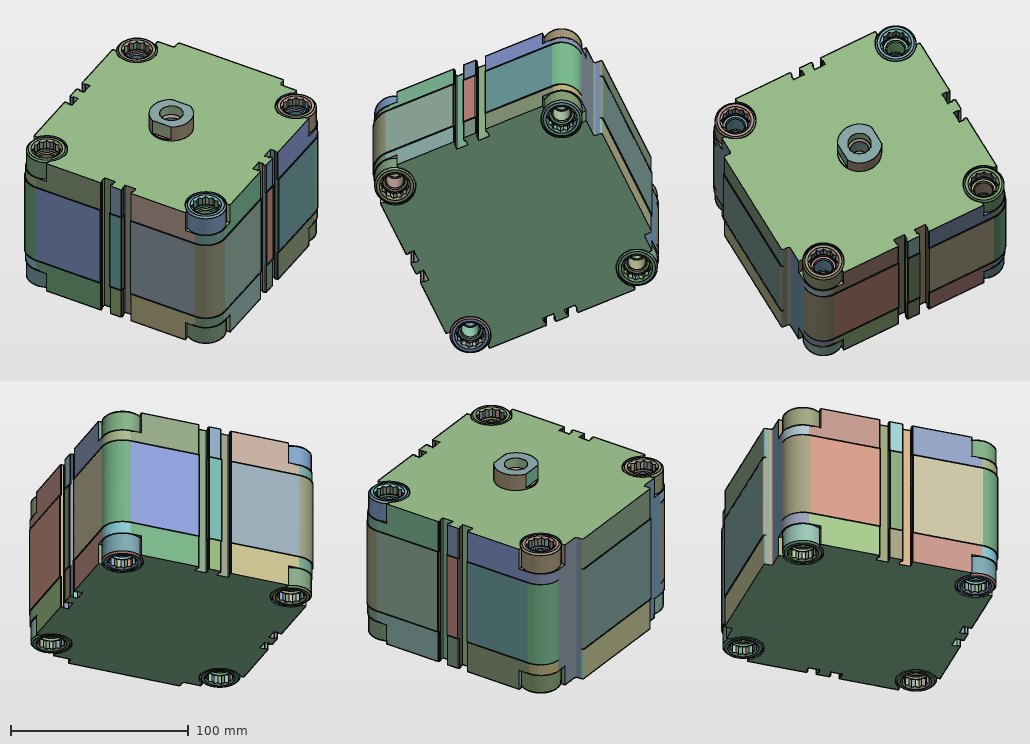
import cadquery as cq
import math

cap_height = 19.5
barrel_height = 52.4
barrel_top = cap_height + barrel_height
housing_height = barrel_top + cap_height
barrel_half = 64.0
cap_inset = 0.5
cap_half = barrel_half - cap_inset
shoulder = 63.7

tab_reach = 69.0
tab_half_width = 34.2
tab_root_fillet = 1.3
tab_corner_fillet = 1.0

groove_near = 3.3
groove_far = 10.1
mouth_near = 4.1
mouth_far = 9.6
front_cap_mouth_near = 3.9
groove_floor = 58.5
lip_inner = 61.5
lip_chamfer = 0.4
rib_chamfer = 0.5

screw_offset = 51.5
head_radius = 23.0 / 2
pocket_radius = 11.7
head_chamfer = 1.0
top_head_height = 12.8
bottom_head_height = 12.4
pocket_reach = 6.5
socket_rim_radius = 8.8
socket_point_radius = 8.0
point_spacing = 30
socket_flat = socket_point_radius * math.cos(math.radians(point_spacing))
socket_notch_radius = socket_flat / math.cos(math.radians(point_spacing / 2))
socket_rim_depth = 1.3
socket_points_depth = 5.9
socket_depth = 7.5
thread_rim_radius = 11.5 / 2
thread_radius = 10.1 / 2
thread_depth = 20.0
through_radius = 8.4 / 2

rod_radius = 25.0 / 2
rod_projection = 10.0
rod_length = rod_projection + cap_height
flat_half_width = 22.0 / 2
flat_height = 9.0
rod_mouth_radius = 13.2 / 2
rod_mouth_depth = 6.1
rod_thread_radius = 10.5 / 2
rod_thread_end = 18.6
drill_half_angle = math.radians(60)


def outer_block(half, reach, height):
    """Rounded square block with the rear tab, standing on Z = 0."""
    depth = half + shoulder
    block = cq.Workplane("XY").center(0, shoulder - depth / 2).rect(2 * half, depth).extrude(height)
    block = block.edges("|Z").fillet(half - screw_offset)
    tab = (
        cq.Workplane("XY")
        .center(0, reach / 2)
        .rect(2 * tab_half_width, reach)
        .extrude(height)
        .edges("|Z and >Y")
        .fillet(tab_corner_fillet)
    )
    block = block.union(tab)
    middle = height / 2
    for side in (-1, 1):
        root = cq.selectors.NearestToPointSelector((side * tab_half_width, shoulder, middle))
        block = block.edges(root).fillet(tab_root_fillet)
    return block


def groove_pair(half, near, height):
    """Cutter for the two undercut grooves on the -Y side."""
    points = [
        (groove_near, -groove_floor),
        (groove_far, -groove_floor),
        (groove_far, -lip_inner),
        (mouth_far, -lip_inner),
        (mouth_far, -half + lip_chamfer),
        (mouth_far + lip_chamfer, -half),
        (near - rib_chamfer, -half),
        (near, -half + rib_chamfer),
        (near, -lip_inner),
        (groove_near, -lip_inner),
    ]
    groove = cq.Workplane("XY").polyline(points).close().extrude(height)
    return groove.union(groove.mirror("YZ"))


def housing_section(half, reach, front_mouth, height, base):
    """One length of the housing profile, with its grooves, placed at the height base."""
    section = outer_block(half, reach, height)
    for angle, near in ((-90, mouth_near), (0, front_mouth), (90, mouth_near)):
        grooves = groove_pair(half, near, height)
        section = section.cut(grooves.rotate((0, 0, 0), (0, 0, 1), angle))
    return section.translate((0, 0, base))


def cylinder(radius, top, bottom):
    return cq.Workplane("XY").workplane(offset=bottom).circle(radius).extrude(top - bottom)


def cone(top_radius, bottom_radius, top, bottom):
    return cq.Workplane("XY").add(
        cq.Solid.makeCone(bottom_radius, top_radius, top - bottom, cq.Vector(0, 0, bottom))
    )


def corner_pocket(head_height):
    """Cutter around a screw head in the +X +Y corner, end face at Z = 0."""
    outward = 2 * head_radius
    side = pocket_reach + outward
    middle = (outward - pocket_reach) / 2
    pocket = cq.Workplane("XY").center(middle, middle).rect(side, side).extrude(-head_height)
    pocket = pocket.union(cylinder(pocket_radius, 0, -head_height))
    head = cylinder(head_radius, 0, -head_height).faces(">Z").chamfer(head_chamfer)
    return pocket.cut(head)


def screw_socket():
    """Cutter for the twelve-point socket and thread below it, end face at Z = 0."""
    socket = cone(socket_rim_radius, socket_flat, 0, -socket_rim_depth)
    for turn in (0, point_spacing):
        hexagon = cq.Workplane("XY").polygon(6, 2 * socket_point_radius)
        hexagon = hexagon.extrude(-socket_points_depth).rotate((0, 0, 0), (0, 0, 1), turn)
        socket = socket.union(hexagon)
    socket = socket.union(cylinder(socket_notch_radius, 0, -socket_depth))
    rim_end = -socket_depth - (thread_rim_radius - thread_radius)
    socket = socket.union(cone(thread_rim_radius, thread_radius, -socket_depth, rim_end))
    return socket.union(cylinder(thread_radius, rim_end, -thread_depth))


def screw_end(head_height):
    """Everything removed at one end of a corner screw."""
    return corner_pocket(head_height).union(screw_socket())


def make_housing():
    cap_reach = tab_reach - cap_inset
    housing = housing_section(barrel_half, tab_reach, mouth_near, barrel_height, cap_height)
    for base in (0, barrel_top):
        cap = housing_section(cap_half, cap_reach, front_cap_mouth_near, cap_height, base)
        housing = housing.union(cap)
    top_end = screw_end(top_head_height).translate((screw_offset, screw_offset, housing_height))
    bottom_end = screw_end(bottom_head_height).mirror("XY").translate((screw_offset, screw_offset, 0))
    through = cylinder(through_radius, housing_height, 0).translate((screw_offset, screw_offset, 0))
    for mirrored_x in (False, True):
        for mirrored_y in (False, True):
            for cutter in (top_end, bottom_end, through):
                if mirrored_x:
                    cutter = cutter.mirror("YZ")
                if mirrored_y:
                    cutter = cutter.mirror("XZ")
                housing = housing.cut(cutter)
    return housing.cut(cylinder(rod_radius, housing_height, barrel_top))


def make_rod():
    """Rod end with wrench flats and a stepped threaded hole, end face at Z = 0."""
    rod = cylinder(rod_radius, 0, -rod_length)
    for side in (-1, 1):
        flat = cq.Workplane("XY").center(0, side * (flat_half_width + rod_radius))
        rod = rod.cut(flat.rect(2 * rod_radius, 2 * rod_radius).extrude(-flat_height))
    step_end = -rod_mouth_depth - (rod_mouth_radius - rod_thread_radius)
    drill_end = -rod_thread_end - rod_thread_radius / math.tan(drill_half_angle)
    rod = rod.cut(cylinder(rod_mouth_radius, 0, -rod_mouth_depth))
    rod = rod.cut(cone(rod_mouth_radius, rod_thread_radius, -rod_mouth_depth, step_end))
    rod = rod.cut(cylinder(rod_thread_radius, step_end, -rod_thread_end))
    rod = rod.cut(cone(rod_thread_radius, 0, -rod_thread_end, drill_end))
    return rod.translate((0, 0, housing_height + rod_projection))


housing = make_housing().solids()
rod = make_rod().solids()
result = cq.Compound.makeCompound([housing.val(), rod.val()])